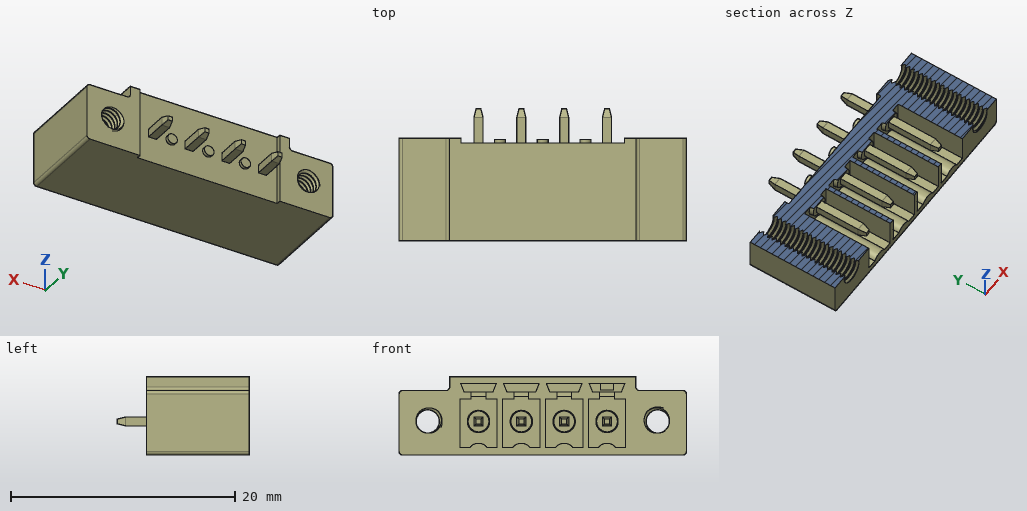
import cadquery as cq
import math


LENGTH = 25.63
DEPTH = 9.18
HEIGHT = 7.0
FLANGE_HEIGHT = 5.77
BLOCK_WIDTH = 16.6
EDGE_RADIUS = 0.3
REAR_RECESS_WIDTH = 14.55
REAR_RECESS_DEPTH = 0.44
REAR_FACE = DEPTH - REAR_RECESS_DEPTH

CONTACT_COUNT = 4
PITCH = 3.82
AXIS_HEIGHT = 3.0
CONTACT_XS = [(i - (CONTACT_COUNT - 1) / 2) * PITCH for i in range(CONTACT_COUNT)]

CAVITY_WIDTH = 3.33
CAVITY_FLOOR = 0.67
CAVITY_TOP = 5.0
CAVITY_DEPTH = 6.92
NECK_WIDTH = 1.3
LATCH_FLOOR = 5.61
LATCH_TOP = 6.38
LATCH_FLOOR_WIDTH = 2.56
LATCH_TOP_WIDTH = 3.18
NECK_SLOPE_START = 5.23
LATCH_DEPTH = CAVITY_DEPTH + LATCH_FLOOR - NECK_SLOPE_START
RIDGE_WIDTH = 1.56
RIDGE_HEIGHT = 0.38
COLLAR_BASE_DIAMETER = 2.0
COLLAR_TOP_DIAMETER = 1.85
COLLAR_HEIGHT = 0.38

POCKET_WIDTH = 1.18
POCKET_FLOOR = 5.8
POCKET_DEPTH = 0.77

PIN_WIDTH = 0.82
PIN_TIP_WIDTH = 0.44
PIN_TIP_LENGTH = 0.77
PIN_FRONT = 1.28
PIN_REAR = 11.8

STANDOFF_DIAMETER = 1.0
STANDOFF_HEIGHT = 0.3

HOLE_SPACING = 20.5
THREAD_MINOR_DIAMETER = 2.05
THREAD_MAJOR_DIAMETER = 2.6
THREAD_PITCH = 0.45
THREAD_CREST = 0.05
THREAD_OVERLAP = 0.03
THREAD_TURNS_PER_SECTION = 4
SLEEVE_DIAMETER = 3.6
THREAD_START_ANGLE = 45.0

OVERLAP = 0.13


def box(width, y_start, y_end, z_low, z_high, x=0.0):
    """Box centred on x."""
    return cq.Workplane("XY").box(width, y_end - y_start, z_high - z_low).translate(
        (x, (y_start + y_end) / 2, (z_low + z_high) / 2)
    )


def front_plane(y, x=0.0, z=0.0):
    """Sketch plane with X right and Z up, extruding toward the rear for negative lengths."""
    return cq.Workplane("XZ", origin=(x, y, z))


def make_housing():
    flanges = box(LENGTH, 0, DEPTH, 0, FLANGE_HEIGHT).edges("|Y").fillet(EDGE_RADIUS)
    block = box(BLOCK_WIDTH, 0, DEPTH, 0, HEIGHT)
    housing = flanges.union(block)
    for x in (-BLOCK_WIDTH / 2, BLOCK_WIDTH / 2):
        inner_corner = cq.selectors.NearestToPointSelector((x, DEPTH / 2, FLANGE_HEIGHT))
        housing = housing.edges(inner_corner).fillet(EDGE_RADIUS)
    recess = box(REAR_RECESS_WIDTH, REAR_FACE, DEPTH, 0, HEIGHT)
    return housing.cut(recess)


def make_cavity():
    """Void for one plug contact, centred on X = 0."""
    socket = box(CAVITY_WIDTH, 0, CAVITY_DEPTH, CAVITY_FLOOR, CAVITY_TOP)
    half_ridge = RIDGE_WIDTH / 2
    ridge = (
        front_plane(0, z=CAVITY_FLOOR)
        .moveTo(-half_ridge, 0)
        .threePointArc((0, RIDGE_HEIGHT), (half_ridge, 0))
        .close()
        .extrude(-CAVITY_DEPTH)
    )
    collar = (
        front_plane(CAVITY_DEPTH, z=AXIS_HEIGHT)
        .circle(COLLAR_BASE_DIAMETER / 2)
        .workplane(offset=COLLAR_HEIGHT)
        .circle(COLLAR_TOP_DIAMETER / 2)
        .loft()
    )
    latch = (
        front_plane(0)
        .polyline([
            (-LATCH_FLOOR_WIDTH / 2, LATCH_FLOOR),
            (LATCH_FLOOR_WIDTH / 2, LATCH_FLOOR),
            (LATCH_TOP_WIDTH / 2, LATCH_TOP),
            (-LATCH_TOP_WIDTH / 2, LATCH_TOP),
        ])
        .close()
        .extrude(-LATCH_DEPTH)
    )
    neck = (
        cq.Workplane("YZ")
        .polyline([
            (0, CAVITY_TOP),
            (CAVITY_DEPTH, CAVITY_TOP),
            (CAVITY_DEPTH, NECK_SLOPE_START),
            (LATCH_DEPTH, LATCH_FLOOR),
            (0, LATCH_FLOOR),
        ])
        .close()
        .extrude(NECK_WIDTH / 2, both=True)
    )
    return socket.cut(ridge).cut(collar).union(neck).union(latch)


def make_pin():
    """Square contact pin tapered at both ends, centred on X = 0."""
    shank_front = PIN_FRONT + PIN_TIP_LENGTH
    shank_rear = PIN_REAR - PIN_TIP_LENGTH

    def tip(y_base, length):
        return (
            front_plane(y_base, z=AXIS_HEIGHT)
            .rect(PIN_WIDTH, PIN_WIDTH)
            .workplane(offset=length)
            .rect(PIN_TIP_WIDTH, PIN_TIP_WIDTH)
            .loft()
        )

    shank = front_plane(shank_front, z=AXIS_HEIGHT).rect(PIN_WIDTH, PIN_WIDTH)
    shank = shank.extrude(shank_front - shank_rear)
    return shank.union(tip(shank_front, PIN_TIP_LENGTH)).union(tip(shank_rear, -PIN_TIP_LENGTH))


def make_threaded_sleeve():
    """Sleeve along Y on the origin, its bore cut by a helical V thread that starts at +X.

    The groove is swept in short lengths laid end to end along the bore.
    """
    minor = THREAD_MINOR_DIAMETER / 2
    major = THREAD_MAJOR_DIAMETER / 2
    groove_mouth = minor - THREAD_OVERLAP
    half_groove = (THREAD_PITCH - THREAD_CREST) / 2
    section_length = THREAD_TURNS_PER_SECTION * THREAD_PITCH
    section_count = math.ceil((DEPTH + 2 * THREAD_PITCH) / section_length)

    path = cq.Workplane(obj=cq.Wire.makeHelix(THREAD_PITCH, section_length, minor))
    section = (
        cq.Workplane("XZ")
        .polyline([(groove_mouth, -half_groove), (major, 0), (groove_mouth, half_groove)])
        .close()
        .sweep(path, isFrenet=True)
        .rotate((0, 0, 0), (1, 0, 0), -90)
    )
    sleeve = front_plane(0).circle(SLEEVE_DIAMETER / 2).circle(minor).extrude(-DEPTH)
    for i in range(section_count):
        sleeve = sleeve.cut(section.translate((0, i * section_length - THREAD_PITCH, 0)))
    return sleeve


def make_coding_pocket():
    """Void in the rear wall of the last latch slot."""
    y_start = LATCH_DEPTH - OVERLAP
    y_end = LATCH_DEPTH + POCKET_DEPTH
    return box(POCKET_WIDTH, y_start, y_end, POCKET_FLOOR, LATCH_TOP, CONTACT_XS[-1])


def make_standoff(x):
    """Round standoff on the recessed rear face."""
    plane = front_plane(REAR_FACE - OVERLAP, x, AXIS_HEIGHT)
    return plane.circle(STANDOFF_DIAMETER / 2).extrude(-STANDOFF_HEIGHT - OVERLAP)


result = make_housing()

cavity = make_cavity()
pin = make_pin()
for contact_x in CONTACT_XS:
    result = result.cut(cavity.translate((contact_x, 0, 0)))
    result = result.union(pin.translate((contact_x, 0, 0)))
result = result.cut(make_coding_pocket())

for left, right in zip(CONTACT_XS, CONTACT_XS[1:]):
    result = result.union(make_standoff((left + right) / 2))

sleeve = make_threaded_sleeve()
for hole_x, start_angle in (
    (-HOLE_SPACING / 2, THREAD_START_ANGLE),
    (HOLE_SPACING / 2, 180 - THREAD_START_ANGLE),
):
    seat = front_plane(0, hole_x, AXIS_HEIGHT).circle(SLEEVE_DIAMETER / 2).extrude(-DEPTH)
    turned_sleeve = sleeve.rotate((0, 0, 0), (0, 1, 0), -start_angle)
    result = result.cut(seat).union(turned_sleeve.translate((hole_x, 0, AXIS_HEIGHT)))